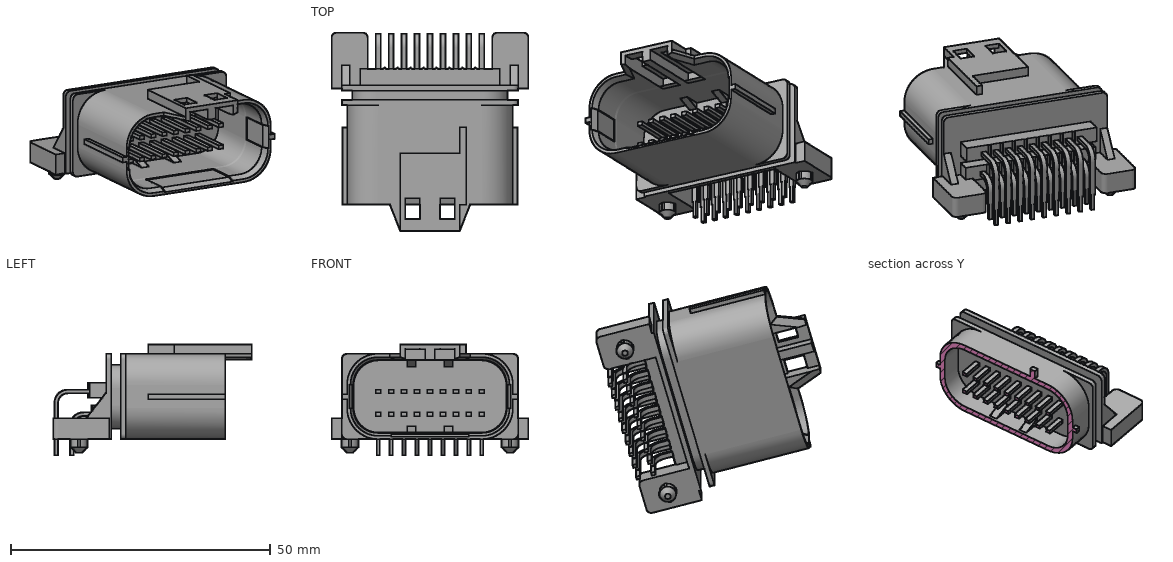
import cadquery as cq
import math


shroud_width = 32.0
shroud_height = 16.5
shroud_radius = 6.0
shroud_length = 19.2
mid_z = shroud_height / 2

bore_wall = 1.3
front_wall = 1.2
front_depth = 7.5
step_length = 0.5
cavity_depth = 18.2
mouth_bevel = 0.55
mouth_bevel_length = 1.5
relief_depth = 0.2
floor_relief_width = 15.0

flange_width = 34.0
flange_thickness = 1.0
flange_radius = 1.0
neck_length = 1.8
neck_width = 30.0
neck_bottom = 2.0
neck_top = 14.4
neck_radius = 4.5
neck_start = shroud_length + flange_thickness
rear_flange_start = neck_start + neck_length
rear_face = rear_flange_start + flange_thickness

latch_front = -5.1
latch_rear = 9.9
latch_half_width = 5.75
latch_top = 18.3
latch_roof = 0.9
latch_leg = 1.0
latch_centre_leg = 1.8
channel_rear = latch_rear - latch_leg
channel_top = latch_top - latch_roof
window_half_gap = 1.95
window_width = 2.8
window_front = -2.75
window_rear = 1.2
key_width = 1.2
key_rear = 14.9
tongue_half_base = 7.75
tongue_bottom = shroud_height - front_wall

rail_half_span = 16.9
rail_root = 15.75
rail_bottom = 7.7
rail_height = 1.0
rail_length = 14.9

wing_outer = 19.0
wing_inner = 12.0
wing_front = 22.4
wing_rear = 33.2
wing_height = 4.05
wing_radius = 1.0
gusset_thickness = 1.5
gusset_top = 9.0
gusset_reach = 3.85
peg_x = 15.45
peg_y = 28.2
peg_diameter = 3.2
peg_straight = 1.55
peg_length = 2.65
peg_tip_diameter = 1.1
peg_rib_width = 0.5
peg_rib_span = 3.4

pin_count = 9
pin_pitch = 2.5
pin_width = 1.0
pin_thickness = 0.75
tail_width = 0.64
pin_front = 8.9
pin_bottom = -3.1
bend_radius = 2.6
upper_pin_z = 9.2
lower_pin_z = 4.83
upper_pin_rear = 33.0
lower_pin_rear = 29.98

block_width = 27.0
block_above_pin = 1.7
block_below_pin = 1.2
upper_block_rear = 26.2
lower_block_rear = 25.6
nib_width = 0.6
nib_height = 0.3

rib_centre = 3.57
rib_width = 1.6
rib_height = 1.2
rib_length = 3.6


def box(x0, x1, y0, y1, z0, z1):
    return cq.Workplane("XY").box(x1 - x0, y1 - y0, z1 - z0, centered=False).translate((x0, y0, z0))


def rounded_plate(width, height, radius, y0, y1, centre_z):
    plate = cq.Workplane("XY").box(width, y1 - y0, height).edges("|Y").fillet(radius)
    return plate.translate((0, (y0 + y1) / 2, centre_z))


def inset_sketch(wall):
    """Shroud outline moved inwards by the given wall thickness."""
    sketch = cq.Sketch().rect(shroud_width - 2 * wall, shroud_height - 2 * wall)
    return sketch.vertices().fillet(shroud_radius - wall)


def inset_prism(wall, y0, y1):
    return cq.Workplane("XZ", origin=(0, y0, mid_z)).placeSketch(inset_sketch(wall)).extrude(y0 - y1)


def inset_taper(wall0, y0, wall1, y1):
    """Solid that passes from one wall thickness at y0 to another at y1."""
    far_end = inset_sketch(wall1).moved(cq.Location(cq.Vector(0, 0, y0 - y1)))
    return cq.Workplane("XZ", origin=(0, y0, mid_z)).placeSketch(inset_sketch(wall0), far_end).loft()


def front_cavity(wall):
    """Front stretch of the cavity, flared at the mouth."""
    flare = inset_taper(wall - mouth_bevel, 0, wall, mouth_bevel_length)
    return inset_prism(wall, 0, front_depth).union(flare)


def cavity():
    bore = inset_prism(bore_wall, 0, cavity_depth)
    step = inset_taper(front_wall, front_depth, bore_wall, front_depth + step_length)
    relieved = front_cavity(front_wall - relief_depth)
    half_floor = floor_relief_width / 2
    floor_zone = box(-half_floor, half_floor, 0, front_depth, 0, mid_z)
    side_zone = box(
        -shroud_width / 2, shroud_width / 2, 0, front_depth, shroud_radius, shroud_height - shroud_radius
    )
    relief = relieved.intersect(floor_zone.union(side_zone))
    return bore.union(step).union(front_cavity(front_wall)).union(relief)


def body():
    shroud = rounded_plate(shroud_width, shroud_height, shroud_radius, 0, shroud_length, mid_z)
    front_flange = rounded_plate(flange_width, shroud_height, flange_radius, shroud_length, neck_start, mid_z)
    neck = rounded_plate(
        neck_width,
        neck_top - neck_bottom,
        neck_radius,
        neck_start,
        rear_flange_start,
        (neck_top + neck_bottom) / 2,
    )
    rear_flange = box(-flange_width / 2, flange_width / 2, rear_flange_start, rear_face, 0, shroud_height)
    rear_flange = rear_flange.edges("|Y and >Z").fillet(flange_radius)
    return shroud.union(front_flange).union(neck).union(rear_flange).cut(cavity())


def tongue():
    """Tapered roof extension; its slanted lower edges carry the mouth bevel.

    The taper runs on into the roof as far as the mouth bevel reaches, so the
    bevels of the tongue and of the mouth meet in a mitre.
    """
    flare = (tongue_half_base - latch_half_width) / -latch_front
    root_half_width = tongue_half_base + flare * mouth_bevel_length
    outline = [
        (-root_half_width, mouth_bevel_length),
        (-latch_half_width, latch_front),
        (latch_half_width, latch_front),
        (root_half_width, mouth_bevel_length),
    ]
    plate = cq.Workplane("XY", origin=(0, 0, tongue_bottom)).polyline(outline).close().extrude(front_wall)
    edge_length = math.hypot(root_half_width - latch_half_width, mouth_bevel_length - latch_front)
    edge_plane = cq.Plane(
        origin=(latch_half_width, latch_front, tongue_bottom),
        xDir=(-1, flare, 0),
        normal=(flare, 1, 0),
    )
    bevel = (
        cq.Workplane(edge_plane)
        .polyline([(0, 0), (mouth_bevel_length, 0), (0, mouth_bevel)])
        .close()
        .extrude(edge_length, both=True)
    )
    return plate.cut(bevel).cut(bevel.mirror("YZ"))


def latch():
    block = box(-latch_half_width, latch_half_width, latch_front, latch_rear, shroud_height, latch_top)
    key = box(latch_half_width, latch_half_width + key_width, 0, key_rear, shroud_height, latch_top)
    return tongue().union(block).union(key)


def latch_openings():
    cutter = cq.Workplane("XY")
    for side in (-1, 1):
        channel_edges = sorted((side * latch_centre_leg / 2, side * (latch_half_width - latch_leg)))
        window_edges = sorted((side * window_half_gap, side * (window_half_gap + window_width)))
        cutter = cutter.union(box(*channel_edges, latch_front, channel_rear, tongue_bottom, channel_top))
        cutter = cutter.union(box(*window_edges, window_front, window_rear, tongue_bottom, latch_top))
    return cutter


def guide_rails():
    rail = box(rail_root, rail_half_span, 0, rail_length, rail_bottom, rail_bottom + rail_height)
    return rail.union(rail.mirror("YZ"))


def mounting_wing():
    wing = box(wing_inner, wing_outer, wing_front, wing_rear, 0, wing_height)
    wing = wing.edges("|Z and >Y").fillet(wing_radius)
    gusset = (
        cq.Workplane("YZ", origin=(flange_width / 2 - gusset_thickness, 0, 0))
        .polyline([
            (rear_face, 0),
            (rear_face + gusset_reach, 0),
            (rear_face + gusset_reach, wing_height),
            (rear_face, gusset_top),
        ])
        .close()
        .extrude(gusset_thickness)
    )
    return wing.union(gusset).union(board_peg())


def board_peg():
    profile = [
        (0, 0),
        (peg_diameter / 2, 0),
        (peg_diameter / 2, -peg_straight),
        (peg_tip_diameter / 2, -peg_length),
        (0, -peg_length),
    ]
    peg = cq.Workplane("XZ").polyline(profile).close().revolve(360, (0, 0, 0), (0, 1, 0))
    rib_x = cq.Workplane("XY").rect(peg_rib_span, peg_rib_width).extrude(-peg_straight)
    rib_y = cq.Workplane("XY").rect(peg_rib_width, peg_rib_span).extrude(-peg_straight)
    return peg.union(rib_x).union(rib_y).translate((peg_x, peg_y, 0))


def pin_positions():
    return [(i - (pin_count - 1) / 2) * pin_pitch for i in range(pin_count)]


def pin_block(pin_z, rear):
    bottom = pin_z - block_below_pin
    height = block_above_pin + block_below_pin
    block = box(-block_width / 2, block_width / 2, rear_face, rear, bottom, bottom + height)
    for x in pin_positions()[:-1]:
        nib_x = x + pin_pitch / 2
        nib = (
            cq.Workplane("XY", origin=(nib_x, rear, bottom))
            .polyline([(-nib_width / 2, 0), (nib_width / 2, 0), (0, nib_height)])
            .close()
            .extrude(height)
        )
        block = block.union(nib)
    return block


def pin(pin_z, rear):
    """Right-angle pin at X = 0 with a narrower tail below the housing."""
    top = pin_z + pin_thickness / 2
    leg_front = rear - pin_thickness
    blade = (
        cq.Workplane("YZ", origin=(-pin_width / 2, 0, 0))
        .moveTo(pin_front, top)
        .lineTo(rear - bend_radius, top)
        .radiusArc((rear, top - bend_radius), bend_radius)
        .lineTo(rear, 0)
        .lineTo(leg_front, 0)
        .lineTo(leg_front, top - bend_radius)
        .radiusArc((rear - bend_radius, top - pin_thickness), -(bend_radius - pin_thickness))
        .lineTo(pin_front, top - pin_thickness)
        .close()
        .extrude(pin_width)
    )
    return blade.union(box(-tail_width / 2, tail_width / 2, leg_front, rear, pin_bottom, 0))


def cavity_ribs():
    """Ribs on the roof and floor that fade out towards the mouth."""
    profile = [
        (cavity_depth, bore_wall),
        (cavity_depth - rib_length, bore_wall),
        (cavity_depth, bore_wall + rib_height),
    ]
    rib = cq.Workplane("YZ", origin=(-rib_width / 2, 0, 0)).polyline(profile).close().extrude(rib_width)
    pair = rib.union(rib.mirror("XY", (0, 0, mid_z)))
    return pair.translate((-rib_centre, 0, 0)).union(pair.translate((rib_centre, 0, 0)))


def connector():
    part = body().union(latch()).cut(latch_openings())
    part = part.union(guide_rails())
    part = part.union(cavity_ribs())
    wing = mounting_wing()
    part = part.union(wing).union(wing.mirror("YZ"))
    for pin_z, pin_rear, block_rear in (
        (upper_pin_z, upper_pin_rear, upper_block_rear),
        (lower_pin_z, lower_pin_rear, lower_block_rear),
    ):
        part = part.union(pin_block(pin_z, block_rear))
        row_pin = pin(pin_z, pin_rear)
        for x in pin_positions():
            part = part.union(row_pin.translate((x, 0, 0)))
    return part


result = connector()